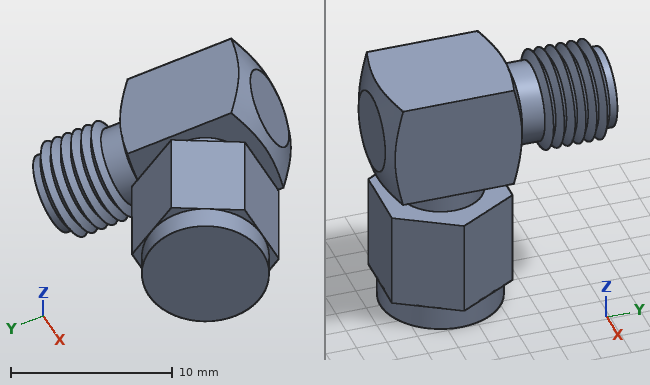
import cadquery as cq
import math

total_height = 16.66
total_length = 15.25

body_width = 7.0
body_length = 9.0
end_flat_radius = 2.58
end_bevel_angle = 20.0

neck_radius = 2.75
neck_height = 1.68
nut_across_flats = 7.91
nut_height = 6.36
nut_across_corners = nut_across_flats / math.cos(math.pi / 6)
collar_radius = nut_across_flats / 2
collar_height = total_height - body_width - neck_height - nut_height

port_root_radius = 2.58
port_crest_radius = 3.2
thread_length = 4.25
thread_ridges = 6
thread_end_gap = 0.52

nut_bottom = collar_height
nut_top = nut_bottom + nut_height
body_bottom = total_height - body_width
port_axis_height = body_bottom + body_width / 2
body_front = -body_length / 2
body_back = body_length / 2
port_end = body_front + total_length
thread_pitch = thread_length / thread_ridges


def revolve_about_port_axis(points):
    """Revolve a closed (radius, y) outline about the port axis."""
    profile = cq.Workplane("XY").polyline(points).close()
    solid = profile.revolve(360, (0, 0, 0), (0, 1, 0))
    return solid.translate((0, 0, port_axis_height))


def make_body():
    """Square block whose two ends are bevelled by cones around the port axis."""
    block = cq.Workplane("XY").box(body_width, body_length, body_width)
    block = block.translate((0, 0, port_axis_height))
    envelope_radius = body_width
    bevel_depth = (envelope_radius - end_flat_radius) * math.tan(math.radians(end_bevel_angle))
    envelope = revolve_about_port_axis([
        (0, body_front),
        (end_flat_radius, body_front),
        (envelope_radius, body_front + bevel_depth),
        (envelope_radius, body_back - bevel_depth),
        (end_flat_radius, body_back),
        (0, body_back),
    ])
    return block.intersect(envelope)


def make_coupling():
    """Collar, hexagonal nut with corners on X, and neck, stacked upward."""
    collar = cq.Workplane("XY").circle(collar_radius).extrude(collar_height)
    nut = cq.Workplane("XY").workplane(offset=nut_bottom).polygon(6, nut_across_corners).extrude(nut_height)
    neck = cq.Workplane("XY").workplane(offset=nut_top).circle(neck_radius).extrude(neck_height)
    return collar.union(nut).union(neck)


def make_port():
    """Cylindrical port carrying a row of V-shaped ring ridges."""
    outline = [(0, 0), (port_root_radius, 0)]
    thread_start = port_end - thread_end_gap - thread_length
    for ridge in range(thread_ridges):
        ridge_start = thread_start + ridge * thread_pitch
        outline.append((port_root_radius, ridge_start))
        outline.append((port_crest_radius, ridge_start + thread_pitch / 2))
    outline.append((port_root_radius, port_end - thread_end_gap))
    outline.append((port_root_radius, port_end))
    outline.append((0, port_end))
    return revolve_about_port_axis(outline)


result = make_body().union(make_coupling()).union(make_port())